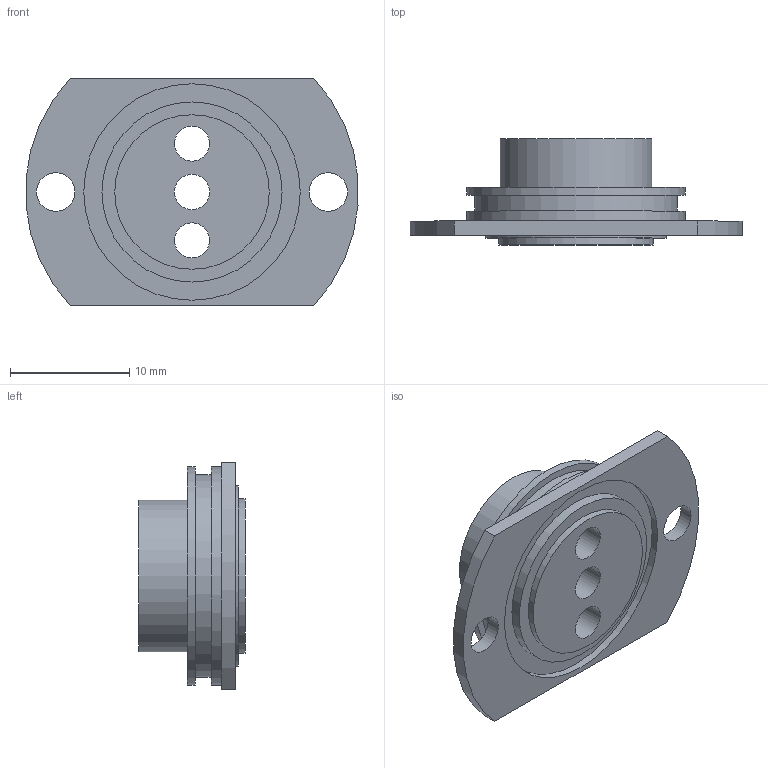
import cadquery as cq
import math

plate_diameter = 27.94
plate_height = 19.05
plate_thickness = 1.19

recess_diameter = 18.16
recess_depth = 0.64
step_diameter = 15.11
step_height = 0.23
pad_diameter = 12.95
pad_height = 0.58

collar_diameter = 18.29
groove_diameter = 17.02
front_collar_length = 0.84
groove_width = 1.32
rear_collar_length = 0.67
spigot_diameter = 12.7
overall_length = 8.89

center_hole_diameter = 2.95
center_hole_pitch = 4.06
mount_hole_diameter = 3.23
mount_hole_spacing = 22.86

pad_front = -(step_height + pad_height)
step_front = -step_height
groove_start = plate_thickness + front_collar_length
groove_end = groove_start + groove_width
collar_end = groove_end + rear_collar_length
spigot_end = pad_front + overall_length


def cylinder(diameter, start, end, x=0, z=0):
    """Cylinder parallel to Y between two Y stations."""
    return cq.Workplane(
        cq.Solid.makeCylinder(diameter / 2, end - start, cq.Vector(x, start, z), cq.Vector(0, 1, 0))
    )


def make_plate():
    """Plate with two flats and two round ends, with the front recess."""
    radius = plate_diameter / 2
    half_height = plate_height / 2
    half_flat = math.sqrt(radius**2 - half_height**2)
    plate = (
        cq.Workplane("XZ")
        .moveTo(-half_flat, -half_height)
        .lineTo(half_flat, -half_height)
        .threePointArc((radius, 0), (half_flat, half_height))
        .lineTo(-half_flat, half_height)
        .threePointArc((-radius, 0), (-half_flat, -half_height))
        .close()
        .extrude(-plate_thickness)
    )
    return plate.cut(cylinder(recess_diameter, 0, recess_depth))


def make_front_steps():
    """Round step rising from the recess floor, with the pad on top of it."""
    step = cylinder(step_diameter, step_front, plate_thickness)
    return step.union(cylinder(pad_diameter, pad_front, plate_thickness))


def make_rear_body():
    """Two collars either side of a ring groove, followed by the spigot."""
    body = cylinder(collar_diameter, plate_thickness, groove_start)
    body = body.union(cylinder(groove_diameter, groove_start, groove_end))
    body = body.union(cylinder(collar_diameter, groove_end, collar_end))
    return body.union(cylinder(spigot_diameter, collar_end, spigot_end))


def cut_center_holes(part):
    """Row of three through holes along Z."""
    for row in (-1, 0, 1):
        hole = cylinder(center_hole_diameter, pad_front, spigot_end, z=row * center_hole_pitch)
        part = part.cut(hole)
    return part


def cut_mount_holes(part):
    """Mounting hole in each end of the plate."""
    for side in (-1, 1):
        hole = cylinder(mount_hole_diameter, 0, plate_thickness, x=side * mount_hole_spacing / 2)
        part = part.cut(hole)
    return part


result = make_plate().union(make_front_steps()).union(make_rear_body())
result = cut_center_holes(result)
result = cut_mount_holes(result)